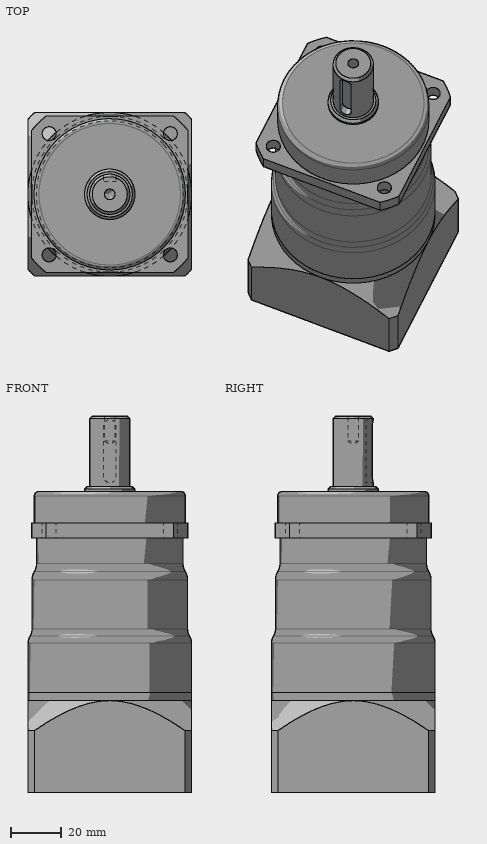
import cadquery as cq
import math

total_height = 149.5
base_side = 65.0

adapter_corner_radius = 44.1
adapter_rim_radius = base_side / 2
adapter_corner_height = 24.7
adapter_slope_top = 36.5
adapter_height = 39.8

lower_radius = adapter_rim_radius
middle_radius = 31.0
neck_radius = 29.2
lower_shoulder_bottom = 59.4
lower_shoulder_top = 64.9
upper_shoulder_bottom = 84.5
upper_shoulder_top = 90.9

flange_side = 62.0
flange_corner_radius = 40.0
flange_bottom = 101.0
flange_thickness = 6.0
flange_top = flange_bottom + flange_thickness
bolt_spacing = 48.1
bolt_hole_diameter = 5.5
pilot_radius = 30.0
pilot_top = 119.6
pilot_fillet = 2.0

shaft_radius = 8.0
shaft_chamfer = 1.0
collar_radius = 10.0
collar_height = 2.0
collar_top = pilot_top + collar_height
centre_hole_radius = 2.1
centre_hole_depth = 10.0
drill_tip_angle = 120
keyway_length = 25.0
keyway_width = 5.0
keyway_depth = 3.0
keyway_middle = (collar_top + total_height) / 2


def cylinder(radius, bottom, top):
    """Upright cylinder on the Z axis."""
    return cq.Workplane("XY").workplane(offset=bottom).circle(radius).extrude(top - bottom)


def square_block(side, bottom, top):
    """Upright square block centred on the Z axis."""
    return cq.Workplane("XY").workplane(offset=bottom).rect(side, side).extrude(top - bottom)


def turn(profile):
    """Revolve a closed radius-height profile about the Z axis."""
    return profile.revolve(360, (0, 0), (0, 1))


def shoulder(profile, start_radius, end_radius, bottom, top):
    """Extend a vertical profile line with two tangent arcs that end vertical again."""
    middle = ((start_radius + end_radius) / 2, (bottom + top) / 2)
    return (
        profile.lineTo(start_radius, bottom)
        .tangentArcPoint(middle, relative=False)
        .tangentArcPoint((end_radius, top), relative=False)
    )


def make_adapter():
    turned = turn(
        cq.Workplane("XZ")
        .lineTo(adapter_corner_radius, 0)
        .lineTo(adapter_corner_radius, adapter_corner_height)
        .lineTo(adapter_rim_radius, adapter_slope_top)
        .lineTo(adapter_rim_radius, adapter_height)
        .lineTo(0, adapter_height)
        .close()
    )
    return square_block(base_side, 0, adapter_height).intersect(turned)


def make_barrel():
    profile = cq.Workplane("XZ").moveTo(0, adapter_height).lineTo(lower_radius, adapter_height)
    profile = shoulder(profile, lower_radius, middle_radius, lower_shoulder_bottom, lower_shoulder_top)
    profile = shoulder(profile, middle_radius, neck_radius, upper_shoulder_bottom, upper_shoulder_top)
    return turn(profile.lineTo(neck_radius, flange_bottom).lineTo(0, flange_bottom).close())


def make_flange():
    plate = square_block(flange_side, flange_bottom, flange_top)
    plate = plate.intersect(cylinder(flange_corner_radius, flange_bottom, flange_top))
    return (
        plate.faces(">Z")
        .workplane()
        .rect(bolt_spacing, bolt_spacing, forConstruction=True)
        .vertices()
        .hole(bolt_hole_diameter)
    )


def make_pilot():
    return cylinder(pilot_radius, flange_top, pilot_top).faces(">Z").edges().fillet(pilot_fillet)


def make_shaft():
    collar = cylinder(collar_radius, pilot_top, collar_top).faces(">Z").edges().chamfer(shaft_chamfer)
    journal = cylinder(shaft_radius, pilot_top, total_height).faces(">Z").edges().chamfer(shaft_chamfer)
    return collar.union(journal).cut(make_centre_hole()).cut(make_keyway())


def make_centre_hole():
    """Drilled hole with a conical bottom, as a cutter."""
    hole_bottom = total_height - centre_hole_depth
    tip_depth = centre_hole_radius / math.tan(math.radians(drill_tip_angle / 2))
    return turn(
        cq.Workplane("XZ")
        .moveTo(0, total_height)
        .lineTo(centre_hole_radius, total_height)
        .lineTo(centre_hole_radius, hole_bottom)
        .lineTo(0, hole_bottom - tip_depth)
        .close()
    )


def make_keyway():
    """Round-ended slot in the +Y side of the shaft, as a cutter."""
    return (
        cq.Workplane("XZ", origin=(0, shaft_radius, keyway_middle))
        .slot2D(keyway_length, keyway_width, 90)
        .extrude(keyway_depth)
    )


def make_gearbox():
    return make_barrel().union(make_flange()).union(make_pilot()).union(make_shaft())


adapter = make_adapter()
gearbox = make_gearbox()

result = cq.Compound.makeCompound([adapter.solids().val(), gearbox.solids().val()])